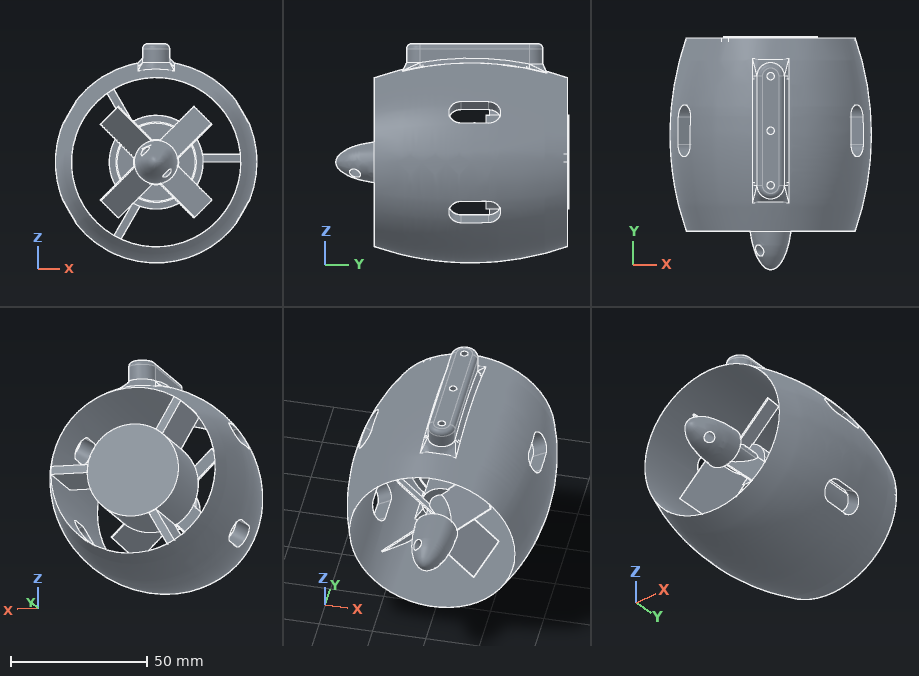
import cadquery as cq
import math


duct_length = 71.0
duct_end_radius = 31.0
duct_middle_radius = 37.0
bore_radius = duct_end_radius

bulge = duct_middle_radius - duct_end_radius
bulge_arc_radius = (bulge**2 + (duct_length / 2) ** 2) / (2 * bulge)
bulge_arc_centre_z = duct_middle_radius - bulge_arc_radius

station_y = -34.1

window_length = 19.0
window_width = 9.0
window_angles = (30, 150, 210, 330)

rail_length = 50.0
rail_width = 10.0
rail_straight = rail_length - rail_width
rail_top_z = 43.5
rail_root_z = 32.0
rail_fillet = 2.0
rail_hole_diameter = 2.7
rail_hole_spacing = 20.0
rail_hole_count = 3

foot_length = 53.0
foot_width = 13.4
foot_rise = 1.15
foot_edge_height = 0.15
foot_overlap = 1.0
foot_root_depth = 4.0

housing_radius = 17.25
housing_overhang = 0.4
housing_front_y = -30.0
motor_bore_radius = 14.75
housing_floor = 3.0
motor_rear_y = housing_overhang - housing_floor
strut_thickness = 3.0
strut_front_y = -28.7
strut_angles = (0, 120, 240)

motor_radius = 14.3

hub_radius = 5.3
collar_radius = 8.3
collar_front_y = -50.0
spinner_radius = 8.0
spinner_base_y = -64.0
spinner_tip_y = -85.1
spinner_hole_diameter = 4.0
spinner_hole_y = -78.0
spinner_hole_angle = 135
blade_count = 4
blade_first_angle = 45
blade_tip_radius = 24.3
blade_chord = 17.0
blade_thickness = 0.5
blade_pitch = 58
blade_middle_y = -56.6


def about_axis(shape, angle):
    """Turn a shape about the duct axis, from +X towards +Z."""
    return shape.rotate((0, 0, 0), (0, 1, 0), -angle)


def cylinder(radius, rear_y, front_y):
    return cq.Workplane("XZ", origin=(0, rear_y, 0)).circle(radius).extrude(rear_y - front_y)


def duct_envelope():
    """The barrel without its bore."""
    return (
        cq.Workplane("XY")
        .lineTo(duct_end_radius, 0)
        .threePointArc((duct_middle_radius, -duct_length / 2), (duct_end_radius, -duct_length))
        .lineTo(0, -duct_length)
        .close()
        .revolve(360, (0, 0, 0), (0, 1, 0))
    )


def barrel_top(y):
    """Height of the top of the barrel at a place along the duct."""
    return bulge_arc_centre_z + math.sqrt(bulge_arc_radius**2 - (y + duct_length / 2) ** 2)


def foot_base_height(y):
    """Height at which the long side of the foot meets the barrel."""
    return math.sqrt(barrel_top(y) ** 2 - (foot_width / 2) ** 2)


def foot_end(direction):
    """Flare round one end of the rail, from a sloping rectangle up to the round of the rail."""
    round_y = station_y + direction * rail_straight / 2
    corner_y = station_y + direction * foot_length / 2
    inner_y = round_y - direction * foot_overlap
    inner_z = foot_base_height(inner_y) + foot_edge_height
    corner_z = foot_base_height(corner_y) + foot_edge_height
    slope = math.atan2((corner_z - inner_z) * direction, abs(corner_y - inner_y))
    base_plane = cq.Plane(
        origin=(0, (inner_y + corner_y) / 2, (inner_z + corner_z) / 2),
        xDir=(1, 0, 0),
        normal=(0, -math.sin(slope), math.cos(slope)),
    )
    base_length = math.hypot(corner_y - inner_y, corner_z - inner_z)
    base = cq.Workplane(base_plane).rect(foot_width, base_length)
    half_width = rail_width / 2
    top = cq.Workplane("XY", origin=(0, round_y, barrel_top(round_y) + foot_rise))
    flare = (
        base.copyWorkplane(top)
        .moveTo(half_width, 0)
        .threePointArc((0, direction * half_width), (-half_width, 0))
        .lineTo(-half_width, -direction * foot_overlap)
        .lineTo(half_width, -direction * foot_overlap)
        .close()
        .loft(ruled=True)
    )
    root = cq.Workplane(base_plane).rect(foot_width, base_length).extrude(-foot_root_depth)
    return flare.union(root)


def foot_sides():
    """Flare along the straight sides of the rail: one section turned about the barrel's arc."""
    root_z = duct_middle_radius - foot_root_depth
    base_z = foot_base_height(-duct_length / 2)
    top_z = duct_middle_radius + foot_rise
    section = [
        (-foot_width / 2, root_z),
        (-foot_width / 2, base_z),
        (-rail_width / 2, top_z),
        (rail_width / 2, top_z),
        (foot_width / 2, base_z),
        (foot_width / 2, root_z),
    ]
    ring = (
        cq.Workplane("XZ", origin=(0, -duct_length / 2, 0))
        .polyline(section)
        .close()
        .revolve(360, (0, bulge_arc_centre_z, 0), (1, bulge_arc_centre_z, 0))
    )
    straight = (
        cq.Workplane("XY", origin=(0, station_y, 0))
        .rect(foot_width, rail_straight)
        .extrude(rail_top_z)
    )
    return ring.intersect(straight)


def rail():
    return (
        cq.Workplane("XY", origin=(0, station_y, rail_root_z))
        .slot2D(rail_length, rail_width, 90)
        .extrude(rail_top_z - rail_root_z)
        .faces(">Z")
        .edges()
        .fillet(rail_fillet)
    )


def rail_holes():
    return (
        cq.Workplane("XY", origin=(0, station_y, rail_top_z))
        .rarray(1, rail_hole_spacing, 1, rail_hole_count)
        .circle(rail_hole_diameter / 2)
        .extrude(rail_root_z - rail_top_z)
    )


def window(angle):
    cutter = (
        cq.Workplane("YZ", origin=(0, station_y, 0))
        .slot2D(window_length, window_width)
        .extrude(duct_middle_radius + 1)
    )
    return about_axis(cutter, angle)


def strut(angle):
    """A flat vane with one face on a plane through the axis."""
    vane = cq.Workplane("XY").box(
        bore_radius, -strut_front_y, strut_thickness, centered=False
    )
    vane = vane.translate((0, strut_front_y, 0)).intersect(cylinder(bore_radius, 0, strut_front_y))
    return about_axis(vane, angle)


def make_duct():
    body = rail().union(foot_sides()).union(foot_end(1)).union(foot_end(-1))
    body = body.cut(rail_holes()).union(duct_envelope())
    body = body.cut(cylinder(bore_radius, 0, -duct_length))
    for angle in window_angles:
        body = body.cut(window(angle))
    for angle in strut_angles:
        body = body.union(strut(angle))
    body = body.union(cylinder(housing_radius, housing_overhang, housing_front_y))
    return body.cut(cylinder(motor_bore_radius, motor_rear_y, housing_front_y))


def make_motor():
    return cylinder(motor_radius, motor_rear_y, housing_front_y)


def blade(angle):
    """A flat pitched plate along +X, turned to its place; it starts inside the hub."""
    plate = (
        cq.Workplane("XY")
        .box(blade_tip_radius, blade_thickness, blade_chord, centered=(False, True, True))
        .rotate((0, 0, 0), (1, 0, 0), -blade_pitch)
        .translate((0, blade_middle_y, 0))
    )
    return about_axis(plate, angle)


def make_propeller():
    spinner_length = spinner_base_y - spinner_tip_y
    spinner = (
        cq.Workplane("XY", origin=(0, spinner_base_y, 0))
        .lineTo(spinner_radius, 0)
        .ellipseArc(spinner_radius, spinner_length, 270, 360, sense=-1, startAtCurrent=True)
        .close()
        .revolve(360, (0, 0, 0), (0, 1, 0))
    )
    hole = (
        cq.Workplane("YZ", origin=(0, spinner_hole_y, 0))
        .circle(spinner_hole_diameter / 2)
        .extrude(spinner_radius, both=True)
    )
    collar = cylinder(collar_radius, housing_front_y, collar_front_y)
    hub = cylinder(hub_radius, collar_front_y, spinner_base_y)
    body = collar.union(hub).union(spinner)
    body = body.cut(about_axis(hole, spinner_hole_angle))
    for number in range(blade_count):
        body = body.union(blade(blade_first_angle + number * 360 / blade_count))
    return body


duct = make_duct()
motor = make_motor()
propeller = make_propeller()

result = cq.Compound.makeCompound([duct.val(), motor.val(), propeller.val()])